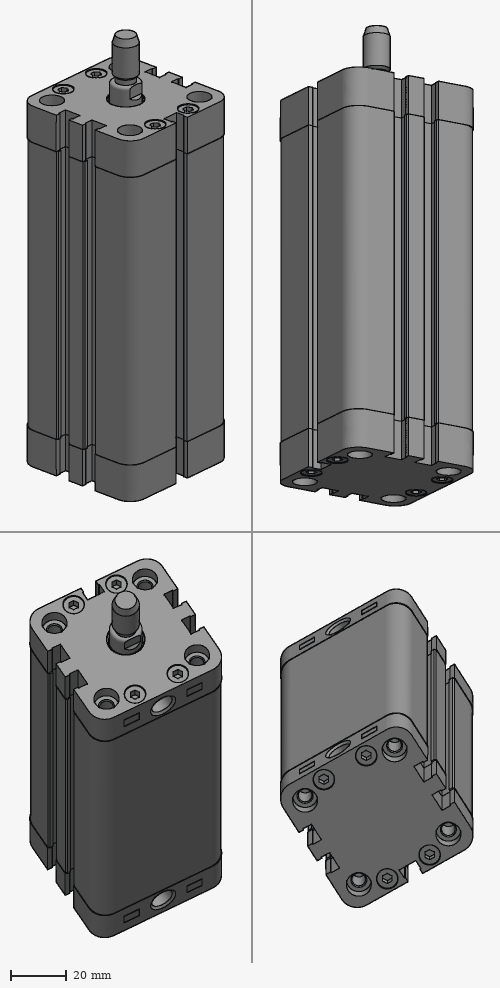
import cadquery as cq
import math

TOTAL_HEIGHT = 171.0
CAP_HEIGHT = 14.7
CAP_TOP = 145.2
TUBE_BOTTOM = CAP_HEIGHT
TUBE_TOP = CAP_TOP - CAP_HEIGHT

CAP_WIDTH = 54.7
CAP_DRAFT = 0.3
TUBE_WIDTH = 54.4
CORNER_CENTER = 20.7
TUBE_CORNER_RADIUS = 6.8

SLOT_OFFSET = 6.41
SLOT_FLOOR = 21.7
SLOT_LIP = 25.3
SLOT_WIDTH = 7.0
CAP_MOUTH_WIDTH = 6.2
TUBE_MOUTH_WIDTH = 5.1
TUBE_MOUTH_CHAMFER = 0.5
SLOT_OVERSHOOT = 1.7
SIDE_SLOT = [(0, 0)]
PAIRED_SLOTS = [(turn, offset) for turn in (90, -90) for offset in (-SLOT_OFFSET, SLOT_OFFSET)]

MOUNT_PITCH = 38.0
MOUNT_BORE_DIAMETER = 9.0
MOUNT_BORE_DEPTH = 5.0
MOUNT_CHAMFER_DIAMETER = 5.8
MOUNT_HOLE_DIAMETER = 5.0

SCREW_PITCH_X = 44.8
SCREW_PITCH_Y = 18.0
SCREW_DIAMETER = 7.5
SCREW_RIM_DIAMETER = 7.9
SCREW_RECESS_DEPTH = 0.3
HEX_WIDTH = 3.5
HEX_DEPTH = 3.5

PORT_HEIGHT = 8.0
PORT_DIAMETER = 8.5
PORT_MOUTH_DIAMETER = 10.6
PORT_CHAMFER = 0.9
PORT_FLOOR_DIAMETER = 40.0

PANEL_PITCH = 26.3
PANEL_LENGTH = 6.3
PANEL_HEIGHT = 4.3
PANEL_OFFSET = 0.7
PANEL_DEPTH = 0.2

ROD_DIAMETER = 12.0
ROD_BORE_DIAMETER = 12.5
ROD_RECESS_DIAMETER = 13.7
ROD_RECESS_DEPTH = 0.9
ROD_RECESS_RIM_DIAMETER = 14.0
THREAD_DIAMETER = 10.0
THREAD_TIP_DIAMETER = 7.9
THREAD_TIP_LENGTH = 3.0
NECK_DIAMETER = 7.9
THREAD_END = 155.5
NECK_TOP = 154.4
SHOULDER = 152.4
SHOULDER_RADIUS = 1.2
FLAT_WIDTH = 10.0
FLAT_BOTTOM = 147.7


def slot_cutter(places, mouth_width, mouth_chamfer, face, bottom, height):
    """T-shaped cutters for the slots at the given places, optionally flared at the outer face."""
    end = face + SLOT_OVERSHOOT
    mouth = mouth_width / 2
    half_profile = [(SLOT_FLOOR, SLOT_WIDTH / 2), (SLOT_LIP, SLOT_WIDTH / 2), (SLOT_LIP, mouth)]
    if mouth_chamfer > 0:
        half_profile += [(face - mouth_chamfer, mouth), (face, mouth + mouth_chamfer)]
    half_profile.append((end, mouth + mouth_chamfer))
    profile = half_profile + [(x, -y) for x, y in reversed(half_profile)]
    cutters = cq.Workplane("XY")
    for angle, offset in places:
        slot = cq.Workplane("XY").workplane(offset=bottom).polyline(profile).close().extrude(height)
        cutters = cutters.add(slot.translate((0, offset, 0)).rotate((0, 0, 0), (0, 0, 1), angle))
    return cutters.combine()


def make_tube():
    """Slotted profile between the caps."""
    length = TUBE_TOP - TUBE_BOTTOM
    tube = cq.Workplane("XY").workplane(offset=TUBE_BOTTOM).rect(TUBE_WIDTH, TUBE_WIDTH).extrude(length)
    tube = tube.edges("|Z").fillet(TUBE_CORNER_RADIUS)
    face = TUBE_WIDTH / 2
    tube = tube.cut(slot_cutter(SIDE_SLOT, CAP_MOUTH_WIDTH, 0, face, TUBE_BOTTOM, length))
    return tube.cut(
        slot_cutter(PAIRED_SLOTS, TUBE_MOUTH_WIDTH, TUBE_MOUTH_CHAMFER, face, TUBE_BOTTOM, length)
    )


def cap_port():
    """Chamfered port cutter, ending on an upright cylinder."""
    face = CAP_WIDTH / 2
    z = CAP_HEIGHT - PORT_HEIGHT
    profile = [
        (-face - PORT_CHAMFER, z),
        (-face - PORT_CHAMFER, z + PORT_MOUTH_DIAMETER / 2),
        (-face, z + PORT_MOUTH_DIAMETER / 2),
        (-face + PORT_CHAMFER, z + PORT_DIAMETER / 2),
        (0, z + PORT_DIAMETER / 2),
        (0, z),
    ]
    port = cq.Workplane("XZ").polyline(profile).close().revolve(360, (0, z, 0), (1, z, 0))
    return port.cut(cq.Workplane("XY").circle(PORT_FLOOR_DIAMETER / 2).extrude(CAP_HEIGHT))


def label_panels():
    """Two shallow rectangular pockets, one on each side of the port."""
    z = CAP_HEIGHT - PORT_HEIGHT + PANEL_OFFSET
    panels = cq.Workplane("YZ").workplane(offset=-CAP_WIDTH / 2)
    panels = panels.pushPoints([(-PANEL_PITCH / 2, z), (PANEL_PITCH / 2, z)])
    return panels.rect(PANEL_LENGTH, PANEL_HEIGHT).extrude(PANEL_DEPTH)


def make_cap():
    """End cap standing on Z = 0 with its outer end face up."""
    corner_radius = CAP_WIDTH / 2 - CORNER_CENTER
    outline = cq.Sketch().rect(CAP_WIDTH, CAP_WIDTH).vertices().fillet(corner_radius)
    cap = cq.Workplane("XY").placeSketch(outline).extrude(CAP_HEIGHT, taper=CAP_DRAFT)
    cap = cap.cut(slot_cutter(SIDE_SLOT + PAIRED_SLOTS, CAP_MOUTH_WIDTH, 0, CAP_WIDTH / 2, 0, CAP_HEIGHT))

    end = cq.Workplane("XY").workplane(offset=CAP_HEIGHT)
    mounts = end.rect(MOUNT_PITCH, MOUNT_PITCH, forConstruction=True).vertices()
    countersink_depth = (MOUNT_CHAMFER_DIAMETER - MOUNT_HOLE_DIAMETER) / 2
    cap = cap.cut(mounts.circle(MOUNT_BORE_DIAMETER / 2).extrude(-MOUNT_BORE_DEPTH))
    cap = cap.cut(mounts.circle(MOUNT_HOLE_DIAMETER / 2).extrude(-CAP_HEIGHT))
    countersinks = (
        end.workplane(offset=-MOUNT_BORE_DEPTH)
        .rect(MOUNT_PITCH, MOUNT_PITCH, forConstruction=True)
        .vertices()
        .circle(MOUNT_CHAMFER_DIAMETER / 2)
        .extrude(-countersink_depth, taper=45)
    )
    cap = cap.cut(countersinks)

    screws = end.rect(SCREW_PITCH_X, SCREW_PITCH_Y, forConstruction=True).vertices()
    rim_width = (SCREW_RIM_DIAMETER - SCREW_DIAMETER) / 2
    rim_angle = math.degrees(math.atan2(rim_width, SCREW_RECESS_DEPTH))
    cap = cap.cut(screws.circle(SCREW_RIM_DIAMETER / 2).extrude(-SCREW_RECESS_DEPTH, taper=rim_angle))
    hex_corner_diameter = HEX_WIDTH / math.cos(math.radians(30))
    socket = cq.Workplane("XY").polygon(6, hex_corner_diameter).extrude(-HEX_DEPTH)
    socket = socket.rotate((0, 0, 0), (0, 0, 1), 90)
    for x in (-SCREW_PITCH_X / 2, SCREW_PITCH_X / 2):
        for y in (-SCREW_PITCH_Y / 2, SCREW_PITCH_Y / 2):
            cap = cap.cut(socket.translate((x, y, CAP_HEIGHT)))

    return cap.cut(cap_port()).cut(label_panels())


def make_upper_cap():
    """End cap with a clearance bore and a chamfered recess for the rod."""
    cap = make_cap()
    cap = cap.cut(cq.Workplane("XY").circle(ROD_BORE_DIAMETER / 2).extrude(CAP_HEIGHT))
    rim_width = (ROD_RECESS_RIM_DIAMETER - ROD_RECESS_DIAMETER) / 2
    end = cq.Workplane("XY").workplane(offset=CAP_HEIGHT)
    cap = cap.cut(end.circle(ROD_RECESS_DIAMETER / 2).extrude(-ROD_RECESS_DEPTH))
    cap = cap.cut(end.circle(ROD_RECESS_RIM_DIAMETER / 2).extrude(-rim_width, taper=45))
    return cap.translate((0, 0, TUBE_TOP))


def make_lower_cap():
    """The same end cap turned upside down below the tube."""
    return make_cap().mirror("XY").translate((0, 0, TUBE_BOTTOM))


def make_rod():
    """Turned piston rod with two wrench flats facing -X and +X."""
    profile = [
        (0, TUBE_TOP),
        (ROD_DIAMETER / 2, TUBE_TOP),
        (ROD_DIAMETER / 2, SHOULDER),
        (NECK_DIAMETER / 2, SHOULDER),
        (NECK_DIAMETER / 2, NECK_TOP),
        (THREAD_DIAMETER / 2, THREAD_END),
        (THREAD_DIAMETER / 2, TOTAL_HEIGHT - THREAD_TIP_LENGTH),
        (THREAD_TIP_DIAMETER / 2, TOTAL_HEIGHT),
        (0, TOTAL_HEIGHT),
    ]
    rod = cq.Workplane("XZ").polyline(profile).close().revolve(360, (0, 0, 0), (0, 1, 0))
    shoulder_rim = cq.selectors.RadiusNthSelector(-1)
    shoulder = rod.faces(cq.selectors.NearestToPointSelector((0, 0, SHOULDER)))
    rod = shoulder.edges(shoulder_rim).fillet(SHOULDER_RADIUS)
    flat = FLAT_WIDTH / 2
    outer = ROD_DIAMETER
    flat_profile = [
        (flat, FLAT_BOTTOM),
        (flat, NECK_TOP),
        (outer, NECK_TOP),
        (outer, FLAT_BOTTOM - (outer - flat)),
    ]
    flat_cut = cq.Workplane("XZ").polyline(flat_profile).close().extrude(ROD_DIAMETER / 2, both=True)
    return rod.cut(flat_cut).cut(flat_cut.mirror("YZ"))


lower_cap = make_lower_cap()
tube = make_tube()
upper_cap = make_upper_cap()
rod = make_rod()

result = cq.Compound.makeCompound([lower_cap.val(), tube.val(), upper_cap.val(), rod.val()])